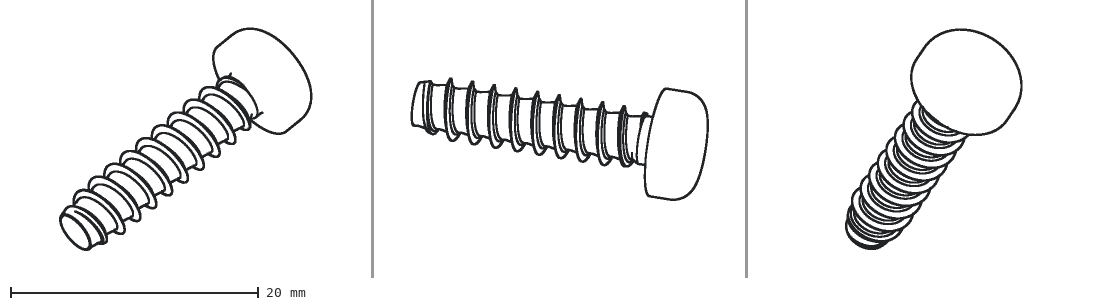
import cadquery as cq
total_length = 23.5
head_height = 3.48
shank_length = total_length - head_height
tip_level = -shank_length

head_radius = 8.8 / 2
head_dome_radius = 1.75
head_edge_radius = 0.07

neck_radius = 3.95 / 2
neck_length = 1.25
neck_fillet = 0.7
runout_length = 0.7

core_radius = 3.5 / 2
tip_bevel_width = 0.1
tip_bevel_length = 0.035

thread_radius = 5.0 / 2
turns_measured = 34.06
pitch = 61.3 / turns_measured
crest_width = 0.05
flank_step_radius = 1.95
flank_step_rise = 0.2
relief_radius = 1.9
relief_drop = 0.23
relief_length = 0.87
root_rise = 0.42
root_sink = 0.012
last_crest_height = 1.32

entry_radius = 2.15
entry_length = 2.11
exit_radius = 1.76
exit_length = 2.68
cone_reach = 1.5

overlap = 0.23


def turn(outline):
    """Close an outline drawn in the X-Z plane and turn it about Z."""
    return outline.close().revolve(360, (0, 0), (0, 1))


def make_head():
    """Pan head, filleted neck and run-out cone, with a plug that sits inside the core."""
    plug_radius = core_radius - overlap
    cone_end = -neck_length - runout_length
    outline = (
        cq.Workplane("XZ")
        .moveTo(0, head_height)
        .lineTo(head_radius - head_dome_radius, head_height)
        .radiusArc((head_radius, head_height - head_dome_radius), head_dome_radius)
        .lineTo(head_radius, head_edge_radius)
        .radiusArc((head_radius - head_edge_radius, 0), head_edge_radius)
        .lineTo(neck_radius + neck_fillet, 0)
        .radiusArc((neck_radius, -neck_fillet), -neck_fillet)
        .lineTo(neck_radius, -neck_length)
        .lineTo(plug_radius, cone_end - overlap)
        .lineTo(0, cone_end - overlap)
    )
    return turn(outline)


def make_shank_envelope():
    """Turned space that limits the threaded shank: flat ends and a trimming cone at each end."""
    thread_top = -neck_length
    entry_growth = cone_reach * (thread_radius - entry_radius)
    exit_growth = cone_reach * (thread_radius - exit_radius)
    outline = (
        cq.Workplane("XZ")
        .moveTo(0, thread_top)
        .lineTo(entry_radius, thread_top)
        .lineTo(entry_radius + entry_growth, thread_top - cone_reach * entry_length)
        .lineTo(exit_radius + exit_growth, tip_level + cone_reach * exit_length)
        .lineTo(exit_radius, tip_level + tip_bevel_length)
        .lineTo(core_radius - tip_bevel_width, tip_level)
        .lineTo(0, tip_level)
    )
    return turn(outline)


def make_ridge(start, height):
    """Helical ridge starting on the +X side with its crest at the given level.

    The relief falls from the ridge to the core; the section's foot is sunk into the core."""
    foot_radius = core_radius - overlap
    sunk_radius = core_radius - root_sink
    root_top = start + root_rise
    root_bottom = start - relief_drop - relief_length
    section = (
        cq.Workplane("XZ")
        .polyline([
            (foot_radius, root_top),
            (sunk_radius, root_top),
            (flank_step_radius, start + flank_step_rise),
            (thread_radius, start + crest_width / 2),
            (thread_radius, start - crest_width / 2),
            (relief_radius, start - relief_drop),
            (sunk_radius, root_bottom),
            (foot_radius, root_bottom),
        ])
        .close()
    )
    helix = cq.Wire.makeHelix(pitch, height, core_radius, cq.Vector(0, 0, start))
    return section.sweep(cq.Workplane(helix), isFrenet=True)


def make_shank():
    """Core with an overlong thread, trimmed to length and to the end cones."""
    turns_past_tip = 2
    start = tip_level + last_crest_height - turns_past_tip * pitch
    ridge = make_ridge(start, pitch - start)
    core_bottom = start - 2 * pitch
    core = cq.Workplane("XY", origin=(0, 0, core_bottom)).circle(core_radius).extrude(4 * pitch - core_bottom)
    return core.union(ridge).intersect(make_shank_envelope())


screw = make_shank().union(make_head())

result = screw.rotate((0, 0, 0), (1, 0, 0), -90)